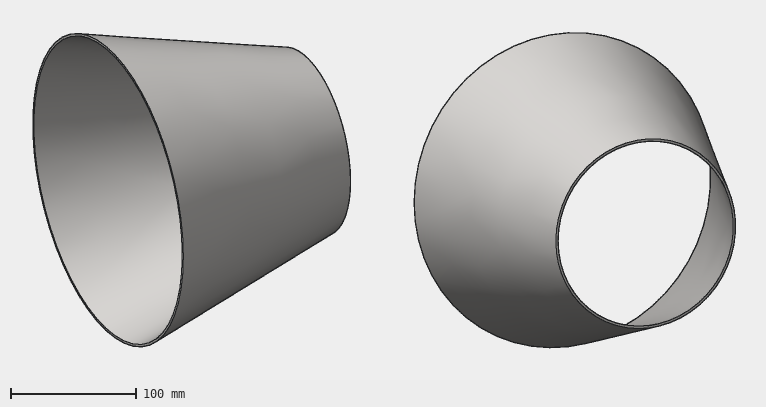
import cadquery as cq

large_diameter = 256.0
small_diameter = 154.0
length = 178.0
wall = 2.0

large_radius = large_diameter / 2
small_radius = small_diameter / 2

wall_section = (
    cq.Workplane("XY")
    .moveTo(large_radius - wall, 0)
    .lineTo(large_radius, 0)
    .lineTo(small_radius, length)
    .lineTo(small_radius - wall, length)
    .close()
)

result = wall_section.revolve(360, (0, 0, 0), (0, 1, 0))